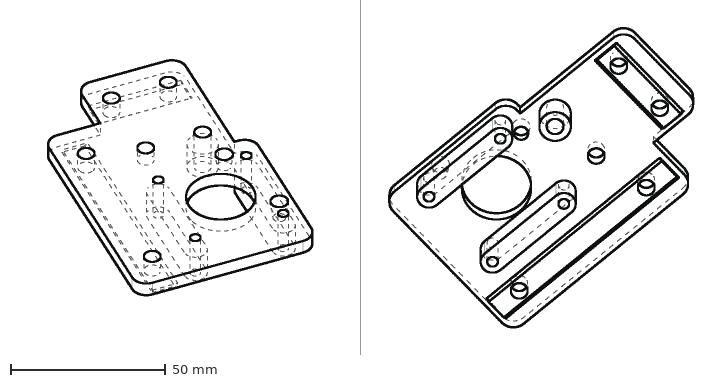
import cadquery as cq

length = 99.2
width = 63.0
plate_thickness = 5.1
corner_radius = 5.0
lower_step_x = 20.0
lower_step_y = 20.0
upper_step_x = 45.3
upper_step_y = 56.5

standoff_height = 9.9
boss_diameter = 10.2
bar_width = 7.7

rail_height = 1.0
rail_base_width = 9.4
rail_inset = 2.0
rail_offset = 10.0

motor_x = 68.6
motor_y = 42.0
motor_bore_diameter = 22.5
motor_screw_pitch = 31.0
motor_screw_diameter = 3.5

clearance_diameter = 5.5
rail_x_hole_positions = (32.0, 87.2)
rail_y_hole_positions = (28.2, 48.2)
boss_x = 37.0
boss_y = 48.9
inner_hole_pitch = 20.0
boss_center = (boss_x, boss_y)

insert_diameter = 5.8
insert_tip_diameter = 4.2
insert_depth = 6.9
insert_centers = [(49.8, 51.1), (78.2, 58.5)]


def make_plate():
    outline = [
        (lower_step_x, 0),
        (length, 0),
        (length, width),
        (upper_step_x, width),
        (upper_step_x, upper_step_y),
        (0, upper_step_y),
        (0, lower_step_y),
        (lower_step_x, lower_step_y),
    ]
    outer_corners = [outline[i] for i in (0, 1, 2, 3, 5, 6)]
    plate = cq.Workplane("XY").polyline(outline).close().extrude(plate_thickness)
    for x, y in outer_corners:
        corner_edge = cq.selectors.NearestToPointSelector((x, y, plate_thickness / 2))
        plate = plate.edges("|Z").edges(corner_edge).fillet(corner_radius)
    return plate


def make_rail(plane, center, start, end):
    """Rail with 45 degree sides, running along the normal of the plane."""
    half_base = rail_base_width / 2
    half_tip = half_base - rail_height
    section = [
        (center - half_base, 0),
        (center + half_base, 0),
        (center + half_tip, -rail_height),
        (center - half_tip, -rail_height),
    ]
    return cq.Workplane(plane).workplane(offset=start).polyline(section).close().extrude(end - start)


def make_standoff_bar(center_y):
    """Round-ended bar, with its end arcs centred on two motor screws."""
    bar_length = motor_screw_pitch + bar_width
    return (
        cq.Workplane("XY")
        .center(motor_x, center_y)
        .slot2D(bar_length, bar_width)
        .extrude(-standoff_height)
    )


def make_through_holes(centers, diameter):
    return (
        cq.Workplane("XY", origin=(0, 0, -standoff_height))
        .pushPoints(centers)
        .circle(diameter / 2)
        .extrude(standoff_height + plate_thickness)
    )


def make_insert_hole(center):
    return cq.Workplane(
        cq.Solid.makeCone(
            insert_diameter / 2,
            insert_tip_diameter / 2,
            insert_depth,
            pnt=cq.Vector(*center, plate_thickness),
            dir=cq.Vector(0, 0, -1),
        )
    )


result = make_plate()

result = result.union(make_rail("YZ", rail_offset, lower_step_x + rail_inset, length - rail_inset))
result = result.union(make_rail("XZ", rail_offset, -(lower_step_y + rail_inset), -(upper_step_y - rail_inset)))

result = result.union(
    cq.Workplane("XY").center(*boss_center).circle(boss_diameter / 2).extrude(-standoff_height)
)
screw_offset = motor_screw_pitch / 2
for side in (-1, 1):
    result = result.union(make_standoff_bar(motor_y + side * screw_offset))

motor_screws = [
    (motor_x + side_x * screw_offset, motor_y + side_y * screw_offset)
    for side_x in (-1, 1)
    for side_y in (-1, 1)
]
clearance_holes = [boss_center, (boss_x, boss_y - inner_hole_pitch)]
clearance_holes += [(x, rail_offset) for x in rail_x_hole_positions]
clearance_holes += [(rail_offset, y) for y in rail_y_hole_positions]
result = result.cut(make_through_holes(motor_screws, motor_screw_diameter))
result = result.cut(make_through_holes([(motor_x, motor_y)], motor_bore_diameter))
result = result.cut(make_through_holes(clearance_holes, clearance_diameter))

for insert_center in insert_centers:
    result = result.cut(make_insert_hole(insert_center))